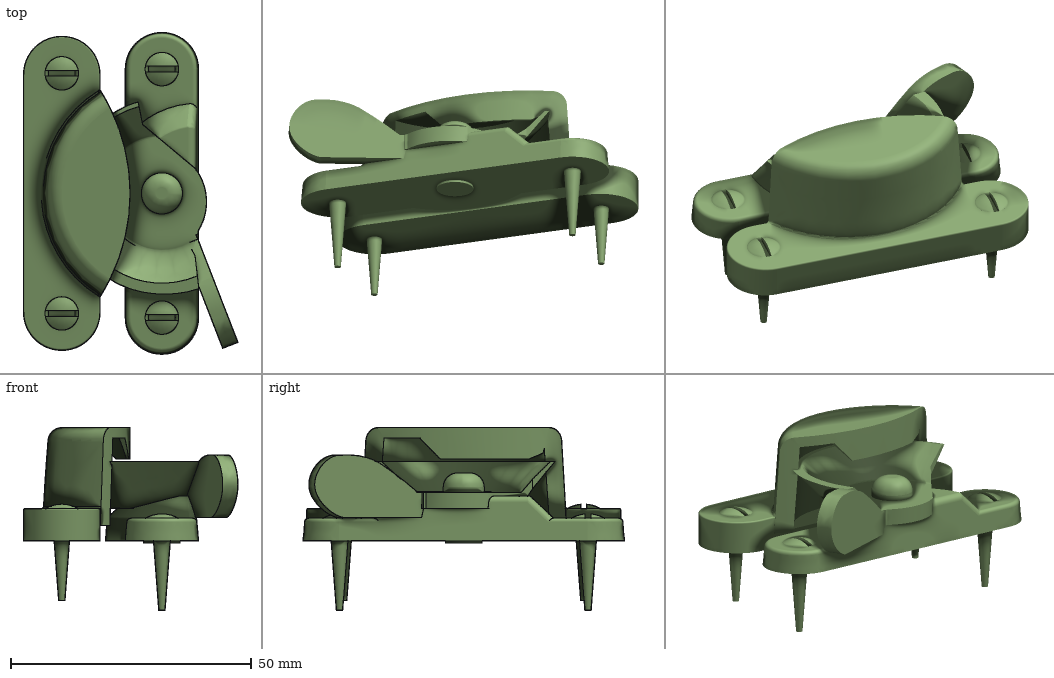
import cadquery as cq
import math


KEEPER_X = -20.85
KEEPER_PLATE_RADIUS = 8.0
KEEPER_END_Y = 24.7
KEEPER_SCREW_Y = 25.0
KEEPER_PLATE_HEIGHT = 6.7
KEEPER_PLATE_FILLET = 0.35
KEEPER_TOP = 23.6
KEEPER_OVERHANG_BOTTOM = 3.15
HOOD_FOOT_RADIUS = 24.7
HOOD_SHOULDER_RADIUS = 23.8
HOOD_FILLET = 3.0
HOOD_FOOT_FILLET = 0.4
HOOD_EDGE_RADIUS = 40.2
HOOD_EDGE_X = -6.65
CAVITY_TOP = 21.45
CAVITY_TOP_RADIUS = 19.5
CAVITY_FLOOR_RADIUS = 20.9
LIP_BOTTOM = 17.0
LIP_BOTTOM_THICKNESS = 0.5
LIP_TOP_THICKNESS = 1.2
LIP_FRONT_END_Y = (-4.9, -9.25)
LIP_BACK_END_Y = (13.6, 16.5, 17.4)
LIP_BACK_BEND_Z = 18.2

BASE_PLATE_RADIUS = 7.65
BASE_SCREW_Y = 33.5 - BASE_PLATE_RADIUS
BASE_PLATE_HEIGHT = 4.7
BASE_DRAFT = 5.0
BASE_FILLET = 0.9
HUB_X = 7.4
HUB_RADIUS = 19.15
HUB_EDGE_HEIGHT = 4.75
HUB_EDGE_FILLET = 0.55
HUB_SIDE_FILLET = 1.5
BOSS_TOP_RADIUS = 14.0
BOSS_TOP = 9.3
BOSS_FILLET = 0.6

LEVER_BOTTOM = 6.7
LEVER_FOOT_RADIUS = 11.25
LEVER_RIM = 16.55
BOWL_FLOOR = 10.05
BOWL_FLOOR_RADIUS = 12.0
BOWL_RIM_RADIUS = 18.7
BOWL_FILLET = 0.7
HANDLE_THICKNESS = 3.4
HANDLE_OFFSET = 0.15
HANDLE_ANGLE = -68.8
HANDLE_END = 34.65
HANDLE_RADIUS = 6.5
HANDLE_TOP = 17.8
HANDLE_ROOT = 11.6
HANDLE_NECK = (20.1, 16.15)
RAMP_MIDDLE = (15.6, 13.15)
SHOULDER_MIDDLE = (23.1, 17.35)
TIP_UPPER = (32.8, 16.0)
TIP_LOWER = (32.6, 7.4)
RIM_SPIRAL = [(-28, 21.4), (0, 21.0), (30, 20.9), (90, 20.4), (150, 19.6), (200, 18.95)]
WALL_END_OUTER = (8.05, -22.8)
WALL_END_INNER = (6.65, -10.7)
HANDLE_CORNER = (7.5, -9.5)
NOSE_START = (7.5, -7.9)
NOSE_MIDDLE = (9.3, -1.5)
NOSE_END = (7.0, 5.15)
CUT_INNER = (-4.0, 14.35)
CUT_OUTER = (-4.95, 19.1)

PIVOT_HEAD_RADIUS = 4.3
PIVOT_HEAD_FILLET = 3.0
PIVOT_HEAD_HEIGHT = 4.1
PIVOT_SHANK_RADIUS = 1.7
WASHER_RADIUS = 3.8
WASHER_THICKNESS = 0.5

SCREW_HEAD_RADIUS = 3.5
SCREW_DOME_HEIGHT = 0.95
SCREW_HEAD_DEPTH = 1.55
SCREW_SHANK_RADIUS = 2.0
SCREW_TIP_RADIUS = 0.7
SCREW_LENGTH = 19.15
SLOT_WIDTH = 1.2
SLOT_DEPTH = 0.75

ARC_MIDDLE = 1 - math.sqrt(0.5)
MARGIN = 0.7


def stadium(radius, centre_y, x=0):
    """Plate outline along Y with full-round ends."""
    return cq.Workplane("XY").center(x, 0).slot2D(2 * (centre_y + radius), 2 * radius, 90)


def cone(low_z, low_radius, high_z, high_radius):
    """Frustum about the pivot axis."""
    profile = [(0, low_z), (low_radius, low_z), (high_radius, high_z), (0, high_z)]
    return cq.Workplane("XZ").polyline(profile).close().revolve(360, (0, 0), (0, 1))


def screw_blank():
    """Countersunk screw without its slot; the plate surface is at Z = 0."""
    dome_sphere = (SCREW_HEAD_RADIUS**2 + SCREW_DOME_HEIGHT**2) / (2 * SCREW_DOME_HEIGHT)
    half_radius = SCREW_HEAD_RADIUS / 2
    half_height = SCREW_DOME_HEIGHT - dome_sphere + math.sqrt(dome_sphere**2 - half_radius**2)
    return (
        cq.Workplane("XZ")
        .moveTo(0, -SCREW_LENGTH)
        .lineTo(SCREW_TIP_RADIUS, -SCREW_LENGTH)
        .lineTo(SCREW_SHANK_RADIUS, -SCREW_HEAD_DEPTH)
        .lineTo(SCREW_HEAD_RADIUS, 0)
        .threePointArc((half_radius, half_height), (0, SCREW_DOME_HEIGHT))
        .close()
        .revolve(360, (0, 0), (0, 1))
    )


def make_screw():
    slot = cq.Workplane("XY").workplane(offset=-SLOT_DEPTH).rect(2 * SCREW_HEAD_RADIUS, SLOT_WIDTH)
    return screw_blank().cut(slot.extrude(SLOT_DEPTH + SCREW_DOME_HEIGHT))


def hood_edge(radius_low, radius_high, low_z, high_z):
    """Upright frustum about the centre of the hood's front edge."""
    centre_x = HOOD_EDGE_X - HOOD_EDGE_RADIUS
    return cone(low_z, radius_low, high_z, radius_high).translate((centre_x, 0, 0))


def make_hood():
    """Domed hood with a slightly conical wall and a small fillet where it stands on the plate."""
    shoulder_z = KEEPER_TOP - HOOD_FILLET
    wall_slope = (HOOD_FOOT_RADIUS - HOOD_SHOULDER_RADIUS) / (shoulder_z - KEEPER_PLATE_HEIGHT)
    bottom_radius = HOOD_FOOT_RADIUS + wall_slope * (KEEPER_PLATE_HEIGHT - KEEPER_OVERHANG_BOTTOM)
    top_arc = HOOD_FILLET * ARC_MIDDLE
    shell = (
        cq.Workplane("XZ")
        .moveTo(0, KEEPER_OVERHANG_BOTTOM)
        .lineTo(bottom_radius, KEEPER_OVERHANG_BOTTOM)
        .lineTo(HOOD_SHOULDER_RADIUS, shoulder_z)
        .threePointArc(
            (HOOD_SHOULDER_RADIUS - top_arc, KEEPER_TOP - top_arc),
            (HOOD_SHOULDER_RADIUS - HOOD_FILLET, KEEPER_TOP),
        )
        .lineTo(0, KEEPER_TOP)
        .close()
        .revolve(360, (0, 0), (0, 1))
    )
    foot_arc = HOOD_FOOT_FILLET * ARC_MIDDLE
    foot_top = KEEPER_PLATE_HEIGHT + HOOD_FOOT_FILLET
    foot = (
        cq.Workplane("XZ")
        .moveTo(0, KEEPER_PLATE_HEIGHT)
        .lineTo(HOOD_FOOT_RADIUS + HOOD_FOOT_FILLET, KEEPER_PLATE_HEIGHT)
        .threePointArc(
            (HOOD_FOOT_RADIUS + foot_arc, KEEPER_PLATE_HEIGHT + foot_arc),
            (HOOD_FOOT_RADIUS - wall_slope * HOOD_FOOT_FILLET, foot_top),
        )
        .lineTo(0, foot_top)
        .close()
        .revolve(360, (0, 0), (0, 1))
    )
    front = hood_edge(HOOD_EDGE_RADIUS, HOOD_EDGE_RADIUS, 0, KEEPER_TOP)
    return shell.union(foot).intersect(front)


def make_keeper():
    plate = (
        stadium(KEEPER_PLATE_RADIUS, KEEPER_END_Y, KEEPER_X)
        .extrude(KEEPER_PLATE_HEIGHT)
        .faces(">Z")
        .edges()
        .fillet(KEEPER_PLATE_FILLET)
    )
    cavity = cone(KEEPER_OVERHANG_BOTTOM, CAVITY_FLOOR_RADIUS, CAVITY_TOP, CAVITY_TOP_RADIUS)
    return plate.union(make_hood()).cut(cavity.cut(make_lip()))


def make_lip():
    """Lip that hangs from the front edge of the hood, cut back at an angle at both ends."""
    outline = [
        (LIP_FRONT_END_Y[0], LIP_BOTTOM),
        (LIP_BACK_END_Y[0], LIP_BOTTOM),
        (LIP_BACK_END_Y[1], LIP_BACK_BEND_Z),
        (LIP_BACK_END_Y[2], CAVITY_TOP),
        (LIP_FRONT_END_Y[1], CAVITY_TOP),
    ]
    span = cq.Workplane("YZ").polyline(outline).close().extrude(-HOOD_EDGE_RADIUS / 2)
    outer = hood_edge(HOOD_EDGE_RADIUS, HOOD_EDGE_RADIUS, LIP_BOTTOM, CAVITY_TOP)
    inner = hood_edge(
        HOOD_EDGE_RADIUS - LIP_BOTTOM_THICKNESS,
        HOOD_EDGE_RADIUS - LIP_TOP_THICKNESS,
        LIP_BOTTOM,
        CAVITY_TOP,
    )
    return outer.cut(inner).intersect(span)


def make_base():
    plate = (
        stadium(BASE_PLATE_RADIUS, BASE_SCREW_Y)
        .extrude(BASE_PLATE_HEIGHT, taper=BASE_DRAFT)
        .faces(">Z")
        .edges()
        .fillet(BASE_FILLET)
    )
    return plate.union(make_hub())


def make_hub():
    """Drafted half-round hub, level with the plate on its right side, with a cone on top."""
    right_y = math.sqrt(HUB_RADIUS**2 - (BASE_PLATE_RADIUS - HUB_X) ** 2)
    block = (
        cq.Workplane("XY")
        .moveTo(BASE_PLATE_RADIUS, right_y)
        .threePointArc((HUB_X - HUB_RADIUS, 0), (BASE_PLATE_RADIUS, -right_y))
        .close()
        .extrude(BOSS_TOP, taper=BASE_DRAFT)
    )
    edge_radius = HUB_RADIUS - HUB_EDGE_HEIGHT * math.tan(math.radians(BASE_DRAFT))
    boss = (
        cq.Workplane("XZ")
        .polyline([
            (0, 0),
            (HUB_RADIUS + MARGIN, 0),
            (HUB_RADIUS + MARGIN, HUB_EDGE_HEIGHT),
            (edge_radius, HUB_EDGE_HEIGHT),
            (BOSS_TOP_RADIUS, BOSS_TOP),
            (0, BOSS_TOP),
        ])
        .close()
        .revolve(360, (0, 0), (0, 1))
        .translate((HUB_X, 0, 0))
    )
    hub = block.intersect(boss)
    side_edges = cq.selectors.BoxSelector(
        (HUB_X - MARGIN, -HUB_RADIUS, HUB_EDGE_HEIGHT),
        (HUB_X + MARGIN, HUB_RADIUS, BOSS_TOP + MARGIN),
    )
    hub = hub.edges(side_edges).fillet(HUB_SIDE_FILLET)
    hub = hub.faces(">Z").edges("<X").fillet(BOSS_FILLET)
    hub_rim = cq.selectors.NearestToPointSelector((HUB_X - HUB_RADIUS, 0, HUB_EDGE_HEIGHT))
    return hub.edges(hub_rim).fillet(HUB_EDGE_FILLET)


def sector_wire(stations, z):
    """Pie slice about the pivot; stations are (degrees from -Y towards -X, radius)."""
    rim = [
        cq.Vector(-radius * math.sin(math.radians(turn)), -radius * math.cos(math.radians(turn)), z)
        for turn, radius in stations
    ]
    pivot = cq.Vector(0, 0, z)
    return cq.Wire.assembleEdges([
        cq.Edge.makeSpline(rim),
        cq.Edge.makeLine(rim[-1], pivot),
        cq.Edge.makeLine(pivot, rim[0]),
    ])


def make_bowl_space():
    """Conical space inside the lever, open at the rim."""
    space = cone(BOWL_FLOOR, BOWL_FLOOR_RADIUS, LEVER_RIM, BOWL_RIM_RADIUS)
    return space.faces("<Z").edges().fillet(BOWL_FILLET)


def lever_outline():
    """Upright prism that trims the bowl in plan: rounded nose, slanted cut, wall end, handle side."""
    reach = 2 * BOWL_RIM_RADIUS
    return (
        cq.Workplane("XY")
        .moveTo(*WALL_END_OUTER)
        .lineTo(*WALL_END_INNER)
        .lineTo(*HANDLE_CORNER)
        .lineTo(*NOSE_START)
        .threePointArc(NOSE_MIDDLE, NOSE_END)
        .lineTo(*CUT_INNER)
        .lineTo(*CUT_OUTER)
        .lineTo(-reach, reach)
        .lineTo(-reach, -reach)
        .lineTo(WALL_END_OUTER[0], -reach)
        .close()
        .extrude(LEVER_RIM)
    )


def make_bowl():
    """Dished cam: a wall from a round foot to a spiral rim, around a flat floor."""
    foot_circle = [(turn, LEVER_FOOT_RADIUS) for turn, _ in RIM_SPIRAL]
    foot_wire = sector_wire(foot_circle, LEVER_BOTTOM)
    rim_wire = sector_wire(RIM_SPIRAL, LEVER_RIM)
    wall = cq.Workplane(cq.Solid.makeLoft([foot_wire, rim_wire], True))
    floor = cq.Workplane("XY").workplane(offset=LEVER_BOTTOM).circle(LEVER_FOOT_RADIUS)
    floor = floor.extrude(BOWL_FLOOR - LEVER_BOTTOM)
    return wall.union(floor).intersect(lever_outline()).cut(make_bowl_space())


def make_handle():
    """Upright slab that ramps up from the bowl floor and ends in a rounded paddle."""
    tip_centre = HANDLE_END - HANDLE_RADIUS
    middle_z = HANDLE_TOP - HANDLE_RADIUS
    bottom_z = HANDLE_TOP - 2 * HANDLE_RADIUS
    profile = (
        cq.Workplane("XZ")
        .moveTo(0, BOWL_FLOOR)
        .lineTo(HANDLE_ROOT, BOWL_FLOOR)
        .threePointArc(RAMP_MIDDLE, HANDLE_NECK)
        .threePointArc(SHOULDER_MIDDLE, (tip_centre, HANDLE_TOP))
        .spline(
            [TIP_UPPER, (HANDLE_END, middle_z), TIP_LOWER, (tip_centre, bottom_z)],
            includeCurrent=True,
        )
        .lineTo(0, bottom_z)
        .close()
        .extrude(-HANDLE_THICKNESS)
    )
    slab = profile.translate((0, HANDLE_OFFSET, 0)).rotate((0, 0, 0), (0, 0, 1), HANDLE_ANGLE)
    return slab.cut(make_bowl_space())


def make_pivot():
    head = cq.Workplane("XY").workplane(offset=BOWL_FLOOR).circle(PIVOT_HEAD_RADIUS)
    head = head.extrude(PIVOT_HEAD_HEIGHT).faces(">Z").edges().fillet(PIVOT_HEAD_FILLET)
    shank = cq.Workplane("XY").workplane(offset=-WASHER_THICKNESS).circle(PIVOT_SHANK_RADIUS)
    return head.union(shank.extrude(BOWL_FLOOR + WASHER_THICKNESS))


def make_washer():
    washer = cq.Workplane("XY").circle(WASHER_RADIUS).circle(PIVOT_SHANK_RADIUS)
    return washer.extrude(-WASHER_THICKNESS)


keeper = make_keeper()
pivot = make_pivot()
washer = make_washer()

bowl = make_bowl()
base = make_base().cut(bowl).cut(pivot)
handle = make_handle().cut(base)
lever = bowl.union(handle).cut(pivot).cut(keeper)

screws = []
for side in (-1, 1):
    keeper_place = (KEEPER_X, side * KEEPER_SCREW_Y, KEEPER_PLATE_HEIGHT)
    base_place = (0, side * BASE_SCREW_Y, BASE_PLATE_HEIGHT)
    keeper = keeper.cut(screw_blank().translate(keeper_place))
    base = base.cut(screw_blank().translate(base_place))
    screws.append(make_screw().translate(keeper_place))
    screws.append(make_screw().translate(base_place))

result = cq.Compound.makeCompound(
    [keeper.val(), base.val(), lever.val(), pivot.val(), washer.val(), *[screw.val() for screw in screws]]
)